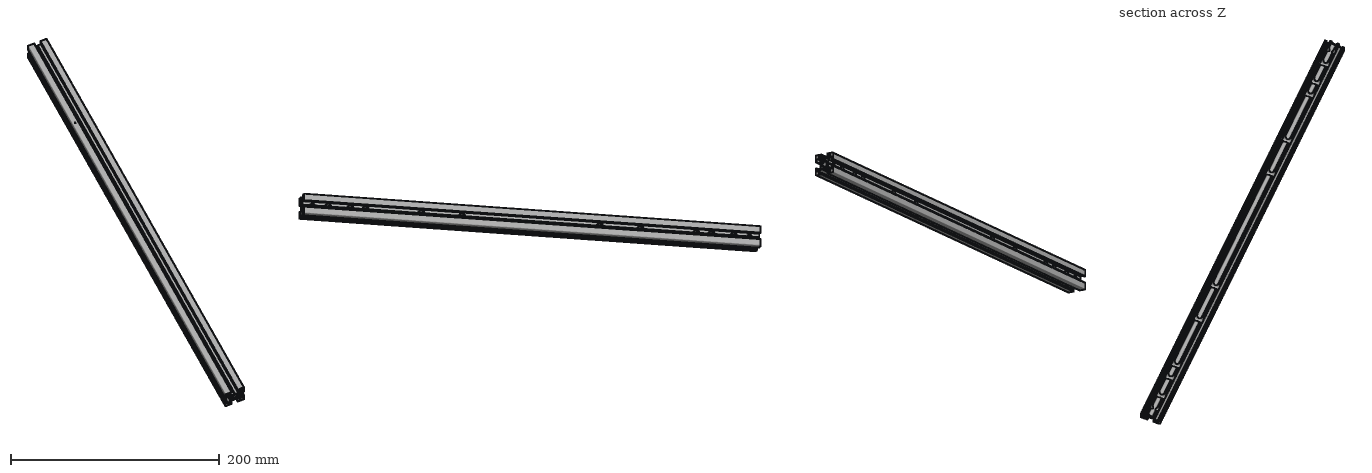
import cadquery as cq

LENGTH = 450.0
SIZE = 20.0
CORNER_RADIUS = 1.0

SLOT_OPENING = 6.2
MOUTH_CHAMFER = 0.25
LIP_THICKNESS = 1.6
POCKET_WIDTH = 12.2
CORE_WIDTH = 9.2
WEB_THICKNESS = 1.5
GUIDE_GROOVE_WIDTH = 0.8
GUIDE_GROOVE_DEPTH = 0.4

BORE_DIAMETER = 5.0
COUNTERBORE_DIAMETER = 6.5
COUNTERBORE_DEPTH = 1.0

END_HOLE_DIAMETER = 4.3
END_HOLE_OFFSET = 9.5
CROSS_HOLE_DIAMETER = 6.0
CROSS_HOLE_OFFSETS = (25.0, 47.0, 62.0, 117.0, 157.0)


def slot_cutter():
    """T-slot prism opening on the +Z side; the section lies in the YZ plane."""
    half_size = SIZE / 2
    half_opening = SLOT_OPENING / 2
    half_pocket = POCKET_WIDTH / 2
    half_core = CORE_WIDTH / 2
    half_groove = GUIDE_GROOVE_WIDTH / 2
    lip_z = half_size - LIP_THICKNESS
    web_shift = WEB_THICKNESS / 2**0.5
    right_side = [
        (half_groove, half_core),
        (half_core - web_shift, half_core),
        (half_pocket, half_pocket + web_shift),
        (half_pocket, lip_z),
        (half_opening, lip_z),
        (half_opening, half_size - MOUTH_CHAMFER),
        (half_opening + MOUTH_CHAMFER, half_size),
    ]
    left_side = [(-y, z) for y, z in reversed(right_side)]
    groove_bottom = (0, half_core - GUIDE_GROOVE_DEPTH)
    outline = [groove_bottom] + right_side + left_side
    return cq.Workplane("YZ").polyline(outline).close().extrude(LENGTH / 2, both=True)


def make_profile():
    """Square bar with rounded long edges and a T-slot on every side."""
    bar = cq.Workplane("XY").box(LENGTH, SIZE, SIZE).edges("|X").fillet(CORNER_RADIUS)
    cutter = slot_cutter()
    for quarter_turn in range(4):
        bar = bar.cut(cutter.rotate((0, 0, 0), (1, 0, 0), 90 * quarter_turn))
    return bar


def cut_central_bore(bar):
    """Bore the core from end to end and counterbore both end faces."""
    for end_face in ("<X", ">X"):
        bar = (
            bar.faces(end_face)
            .workplane(origin=(0, 0, 0))
            .cboreHole(BORE_DIAMETER, COUNTERBORE_DIAMETER, COUNTERBORE_DEPTH)
        )
    return bar


def cut_cross_holes(bar, offsets, diameter):
    """Drill through the core along Y, mirrored about the middle of the bar."""
    distances = [LENGTH / 2 - offset for offset in offsets]
    centres = [(side * distance, 0) for distance in distances for side in (-1, 1)]
    drills = (
        cq.Workplane("XZ")
        .pushPoints(centres)
        .circle(diameter / 2)
        .extrude(SIZE / 2, both=True)
    )
    return bar.cut(drills)


result = make_profile()
result = cut_central_bore(result)
result = cut_cross_holes(result, [END_HOLE_OFFSET], END_HOLE_DIAMETER)
result = cut_cross_holes(result, CROSS_HOLE_OFFSETS, CROSS_HOLE_DIAMETER)